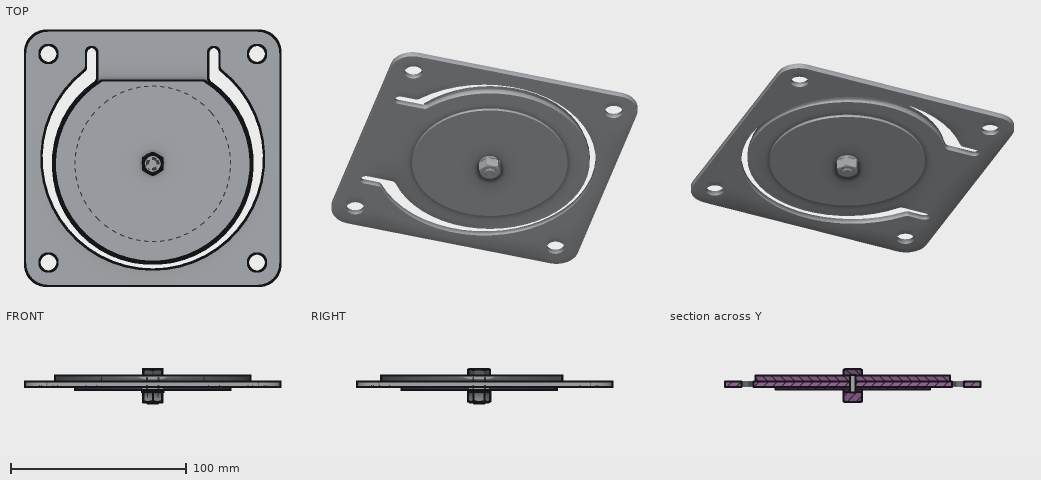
import cadquery as cq
import math

plate_side = 146.0
plate_thickness = 3.2
plate_corner_radius = 12.7
mount_hole_diameter = 10.2
mount_hole_offset = 59.6

opening_radius = 63.5
flap_radius = 57.1
flap_center_y = -3.2
slot_width = 6.3
slot_offset = 34.9
slot_end_y = 63.5
slot_corner_radius = 3.2

seal_diameter = 111.9
seal_thickness = 3.5
seal_flat_y = 44.4
backing_diameter = 89.0
backing_thickness = 1.6

bolt_diameter = 6.3
bolt_tip_length = 0.7
bolt_tip_chamfer = 0.6
clearance_diameter = 7.2
hex_across_flats = 11.1
hex_end_diameter = 10.4
hex_trim_angle = 30.0
head_height = 3.7
head_edge_radius = 0.5
nut_height = 5.8
washer_diameter = 12.4
washer_thickness = 1.3
washer_gap = 2.9
washer_gap_direction = 216.0

plate_bottom = 0.0
plate_top = plate_bottom + plate_thickness
seal_top = plate_top + seal_thickness
head_top = seal_top + head_height
backing_bottom = plate_bottom - backing_thickness
washer_bottom = backing_bottom - washer_thickness
nut_bottom = washer_bottom - nut_height
bolt_bottom = nut_bottom - bolt_tip_length

hex_half_angle = 30.0
hex_across_corners = hex_across_flats / math.cos(math.radians(hex_half_angle))


def at_bolt_axis(level):
    """Horizontal workplane centred on the bolt axis."""
    return cq.Workplane("XY", origin=(0, flap_center_y, level))


def cylinder(diameter, bottom, top):
    """Cylinder on the bolt axis between two levels."""
    return at_bolt_axis(bottom).circle(diameter / 2).extrude(top - bottom)


def hexagon(bottom, top):
    """Hexagonal prism on the bolt axis, with flats facing +X and -X."""
    return (
        at_bolt_axis(bottom)
        .transformed(rotate=(0, 0, hex_half_angle))
        .polygon(6, hex_across_corners)
        .extrude(top - bottom)
    )


def trim_corners(prism, bottom, top, end_face):
    """Cut the corners of a hexagonal prism to a cone at the selected end face."""
    inset = (hex_across_corners - hex_end_diameter) / 2
    drop = inset * math.tan(math.radians(hex_trim_angle))
    cone_ended = cylinder(hex_across_corners, bottom, top).faces(end_face).chamfer(drop, inset)
    return prism.intersect(cone_ended)


def make_flap_cut():
    """Crescent-shaped cut, ending in two slots, that frees the flap from the frame."""
    slot_outer_x = slot_offset + slot_width / 2
    slot_inner_x = slot_offset - slot_width / 2
    slot_arc_y = slot_end_y - slot_width / 2
    outer_corner_y = math.sqrt(opening_radius**2 - slot_outer_x**2)
    inner_corner_y = flap_center_y + math.sqrt(flap_radius**2 - slot_inner_x**2)
    cut = (
        cq.Workplane("XY", origin=(0, 0, plate_bottom))
        .moveTo(-slot_outer_x, outer_corner_y)
        .lineTo(-slot_outer_x, slot_arc_y)
        .threePointArc((-slot_offset, slot_end_y), (-slot_inner_x, slot_arc_y))
        .lineTo(-slot_inner_x, inner_corner_y)
        .threePointArc((0, flap_center_y - flap_radius), (slot_inner_x, inner_corner_y))
        .lineTo(slot_inner_x, slot_arc_y)
        .threePointArc((slot_offset, slot_end_y), (slot_outer_x, slot_arc_y))
        .lineTo(slot_outer_x, outer_corner_y)
        .threePointArc((0, -opening_radius), (-slot_outer_x, outer_corner_y))
        .close()
        .extrude(plate_thickness)
    )
    margin = 1.5
    slot_corners = cq.selectors.BoxSelector(
        (-slot_outer_x - margin, inner_corner_y - margin, plate_bottom - margin),
        (slot_outer_x + margin, outer_corner_y + margin, plate_top + margin),
    )
    return cut.edges("|Z").edges(slot_corners).fillet(slot_corner_radius)


def make_plate():
    """Square plate with mounting holes, the flap cut and the bolt hole."""
    blank = (
        cq.Workplane("XY", origin=(0, 0, plate_bottom))
        .rect(plate_side, plate_side)
        .extrude(plate_thickness)
        .edges("|Z")
        .fillet(plate_corner_radius)
    )
    mount_holes = (
        cq.Workplane("XY", origin=(0, 0, plate_bottom))
        .rect(2 * mount_hole_offset, 2 * mount_hole_offset, forConstruction=True)
        .vertices()
        .circle(mount_hole_diameter / 2)
        .extrude(plate_thickness)
    )
    bolt_hole = cylinder(clearance_diameter, plate_bottom, plate_top)
    return blank.cut(mount_holes).cut(make_flap_cut()).cut(bolt_hole)


def make_seal():
    """Upper disc with one straight edge."""
    disc = cylinder(seal_diameter, plate_top, seal_top)
    beyond_flat = (
        cq.Workplane("XY", origin=(0, seal_flat_y, plate_top))
        .rect(seal_diameter, seal_diameter, centered=(True, False))
        .extrude(seal_thickness)
    )
    bolt_hole = cylinder(clearance_diameter, plate_top, seal_top)
    return disc.cut(beyond_flat).cut(bolt_hole)


def make_backing():
    """Smaller disc under the flap."""
    disc = cylinder(backing_diameter, backing_bottom, plate_bottom)
    return disc.cut(cylinder(clearance_diameter, backing_bottom, plate_bottom))


def make_washer():
    """Split lock washer between the backing disc and the nut."""
    ring = cylinder(washer_diameter, washer_bottom, backing_bottom)
    bore = cylinder(clearance_diameter, washer_bottom, backing_bottom)
    gap = (
        at_bolt_axis(washer_bottom)
        .transformed(rotate=(0, 0, washer_gap_direction))
        .rect(washer_diameter, washer_gap, centered=(False, True))
        .extrude(washer_thickness)
    )
    return ring.cut(bore).cut(gap)


def make_nut():
    """Hexagonal nut with its lower corners trimmed."""
    body = trim_corners(hexagon(nut_bottom, washer_bottom), nut_bottom, washer_bottom, "<Z")
    return body.cut(cylinder(bolt_diameter, nut_bottom, washer_bottom))


def make_bolt():
    """Hexagonal-headed bolt through the whole stack."""
    head_blank = hexagon(seal_top, head_top).edges("|Z").fillet(head_edge_radius)
    head = trim_corners(head_blank, seal_top, head_top, ">Z")
    shank = cylinder(bolt_diameter, bolt_bottom, seal_top).faces("<Z").chamfer(bolt_tip_chamfer)
    return head.union(shank)


plate = make_plate()
seal = make_seal()
backing = make_backing()
washer = make_washer()
nut = make_nut()
bolt = make_bolt()

bodies = [plate, seal, backing, washer, nut, bolt]
result = cq.Compound.makeCompound([body.solids().val() for body in bodies])